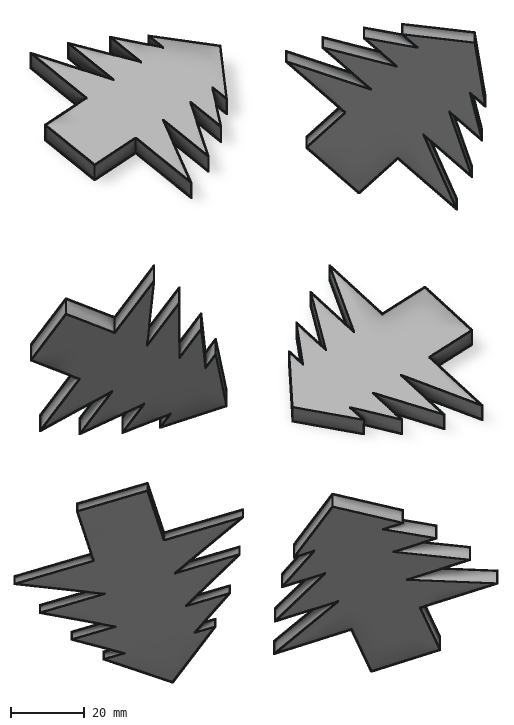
import cadquery as cq

width = 65.0
height = 55.0
thickness = 6.0

trunk_half_width = 10.0

branch_tiers = [
    (width / 2, 15.0),
    (28.4, 25.0),
    (22.5, 35.0),
    (15.85, 43.0),
]


def right_half_outline():
    """Points from the foot of the trunk up to the highest branch tip."""
    points = [(trunk_half_width, 0)]
    for tip_half_width, underside in branch_tiers:
        points.append((trunk_half_width, underside))
        points.append((tip_half_width, underside))
    return points


def tree_outline():
    """Closed outline, symmetric about the Y axis, with the treetop on the axis."""
    right_side = right_half_outline()
    left_side = [(-x, y) for x, y in reversed(right_side)]
    treetop = (0, height)
    return right_side + [treetop] + left_side


result = cq.Workplane("XY").polyline(tree_outline()).close().extrude(thickness)